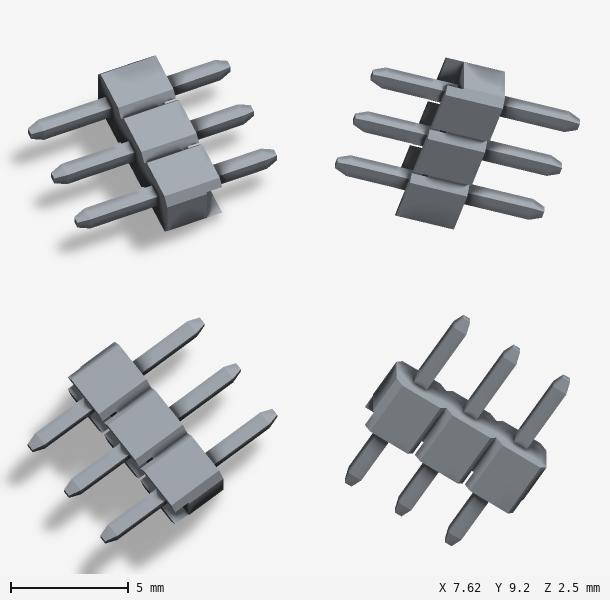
import cadquery as cq

pin_count = 3
pitch = 2.54
housing_length = pin_count * pitch
housing_height = 2.5
housing_front = -0.96
housing_back = 1.59
housing_depth = housing_back - housing_front
chamfer_width = 0.31
chamfer_height = 0.405

lip_thickness = 0.34
channel_depth = 0.72

pin_length = 9.2
pin_width = 0.64
pin_offset = -0.09
tip_length = 0.53
tip_width = 0.34


def cell_center(index):
    return (index - (pin_count - 1) / 2) * pitch


def make_cell(x_center):
    """Housing block for one pin, with its four long edges chamfered."""
    half_width = pitch / 2
    half_height = housing_height / 2
    flat_x = half_width - chamfer_width
    flat_z = half_height - chamfer_height
    outline = [
        (-half_width, -flat_z),
        (-flat_x, -half_height),
        (flat_x, -half_height),
        (half_width, -flat_z),
        (half_width, flat_z),
        (flat_x, half_height),
        (-flat_x, half_height),
        (-half_width, flat_z),
    ]
    return (
        cq.Workplane("XZ", origin=(x_center, housing_front, 0))
        .polyline(outline)
        .close()
        .extrude(-housing_depth)
    )


def make_channel():
    """Space between the lips, running the whole length of the row."""
    return (
        cq.Workplane("XY")
        .box(housing_length, channel_depth, housing_height - 2 * lip_thickness)
        .translate((0, housing_back - channel_depth / 2, 0))
    )


def make_tip(x_center, direction):
    """Tapered pin end; direction is -1 at the front and +1 at the back."""
    shank_end = direction * (pin_length / 2 - tip_length)
    return (
        cq.Workplane("XZ", origin=(x_center, shank_end, 0))
        .rect(pin_width, pin_width)
        .workplane(offset=-direction * tip_length)
        .rect(tip_width, tip_width)
        .loft(ruled=True)
    )


def make_pin(x_center):
    """Square shank with a tapered tip at each end."""
    shank = (
        cq.Workplane("XY")
        .box(pin_width, pin_length - 2 * tip_length, pin_width)
        .translate((x_center, 0, 0))
    )
    return shank.union(make_tip(x_center, -1)).union(make_tip(x_center, 1))


housing = make_cell(cell_center(0))
for index in range(1, pin_count):
    housing = housing.union(make_cell(cell_center(index)))
housing = housing.cut(make_channel()).clean()

result = housing
for index in range(pin_count):
    result = result.union(make_pin(cell_center(index) + pin_offset))